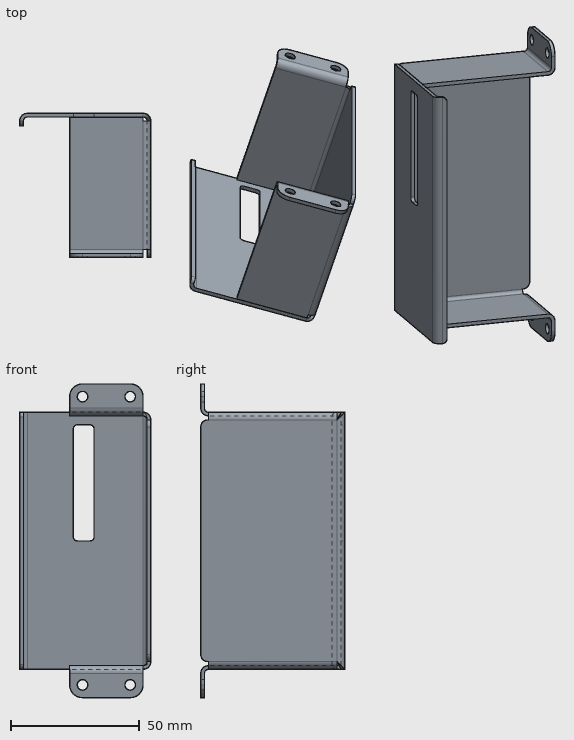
import cadquery as cq
import math

sheet = 1.5
inner_radius = 1.5
outer_radius = inner_radius + sheet

width = 51.0
depth = 56.0
body_height = 100.0
overall_height = 122.0

lip_depth = 5.0
lip_corner_radius = 2.0
window_width = 8.0
window_height = 45.0
window_left = 20.9
window_top_margin = 5.0
window_corner_radius = 1.5

wall_corner_radius = 2.75
relief_overlap = 0.5

shelf_left = 19.4
shelf_gap = 0.1
tab_corner_radius = 5.0
hole_diameter = 4.0
hole_spacing = 18.5
hole_edge_margin = 5.0

quarter_turn = math.pi / 2
half_body = body_height / 2
half_overall = overall_height / 2
bend_x = width - outer_radius
bend_y = depth - outer_radius
wall_half_height = half_body - outer_radius
shelf_width = bend_x - shelf_left


def block(x0, x1, y0, y1, z0, z1):
    """Box between two opposite corners."""
    return cq.Workplane("XY").box(x1 - x0, y1 - y0, z1 - z0, centered=False).translate((x0, y0, z0))


def make_upright_sheet():
    """Back plate with the left lip and the right wall, bent about vertical axes."""
    outer = block(0, width, 0, depth, -half_body, half_body)
    outer = outer.edges("|Z and >Y").fillet(outer_radius)
    inner = block(sheet, width - sheet, 0, depth - sheet, -half_body, half_body)
    inner = inner.edges("|Z and >Y").fillet(inner_radius)
    body = outer.cut(inner)

    body = body.cut(block(0, outer_radius, 0, depth - lip_depth, -half_body, half_body))
    lip_corners = cq.selectors.BoxSelector(
        (0, depth - lip_depth - sheet, -overall_height),
        (sheet, depth - lip_depth + sheet, overall_height),
    )
    body = body.edges("|X").edges(lip_corners).fillet(lip_corner_radius)

    top_relief = make_top_bend_relief()
    return body.cut(make_wall_trim()).cut(top_relief).cut(top_relief.mirror("XY"))


def make_wall_trim():
    """Material to remove from the right wall so that its flat area has rounded front corners."""
    surround = block(bend_x, width, 0, bend_y, -half_body, half_body)
    flat = block(bend_x, width, 0, depth, -wall_half_height, wall_half_height)
    flat = flat.edges("|X and <Y").fillet(wall_corner_radius)
    return surround.cut(flat)


def relief_curve(radius):
    """Quarter turn about the wall bend axis, sinking from the plate top to the top of the flat wall."""
    curve = cq.Workplane("XY").parametricCurve(
        lambda t: (
            bend_x + radius * math.sin(t * quarter_turn),
            bend_y + radius * math.cos(t * quarter_turn),
            wall_half_height + outer_radius * math.cos(t * quarter_turn),
        )
    )
    return curve.edges().val()


def make_top_bend_relief():
    """Material above the sloping upper end of the bend between back plate and right wall."""
    inner_curve = relief_curve(inner_radius - relief_overlap)
    outer_curve = relief_curve(outer_radius + relief_overlap)
    sloping_end = cq.Face.makeRuledSurface(inner_curve, outer_curve)
    return cq.Workplane(cq.Solid.extrudeLinear(sloping_end, cq.Vector(0, 0, outer_radius)))


def make_window():
    """Tall window through the back plate."""
    window_top = half_body - window_top_margin
    window = block(
        window_left, window_left + window_width,
        bend_y, depth,
        window_top - window_height, window_top,
    )
    return window.edges("|Y").fillet(window_corner_radius)


def make_shelves():
    """Both shelves and the bends joining them to the right wall."""
    shelf_back = depth - sheet - shelf_gap
    outer = block(shelf_left, width, outer_radius, shelf_back, -half_body, half_body)
    outer = outer.edges("|Y and >X").fillet(outer_radius)
    inner_half = half_body - sheet
    inner = block(shelf_left, width - sheet, outer_radius, shelf_back, -inner_half, inner_half)
    inner = inner.edges("|Y and >X").fillet(inner_radius)
    flat_wall = block(bend_x, width, 0, depth, -wall_half_height, wall_half_height)
    corner_relief = block(bend_x, width, bend_y, depth, -half_body, half_body)
    return outer.cut(inner).cut(flat_wall).cut(corner_relief)


def make_top_tab():
    """Mounting tab bent up from the front of the top shelf, with the shelf it overlaps."""
    shelf_underside = half_body - sheet
    tab = block(shelf_left, bend_x, 0, bend_y, shelf_underside, half_overall)
    tab = tab.edges("|X and <Y and <Z").fillet(outer_radius)
    clearance = block(shelf_left, bend_x, sheet, depth, half_body, overall_height)
    clearance = clearance.edges("|X and <Y and <Z").fillet(inner_radius)
    tab = tab.cut(clearance)
    tab = tab.faces(">Z").edges("|Y").fillet(tab_corner_radius)

    centre_x = shelf_left + shelf_width / 2
    hole_z = half_overall - hole_edge_margin
    for side in (-1, 1):
        hole = cq.Workplane("XZ").center(centre_x + side * hole_spacing / 2, hole_z)
        tab = tab.cut(hole.circle(hole_diameter / 2).extrude(-sheet))
    return tab


top_tab = make_top_tab()
result = make_upright_sheet().cut(make_window())
result = result.union(make_shelves())
result = result.union(top_tab).union(top_tab.mirror("XY"))